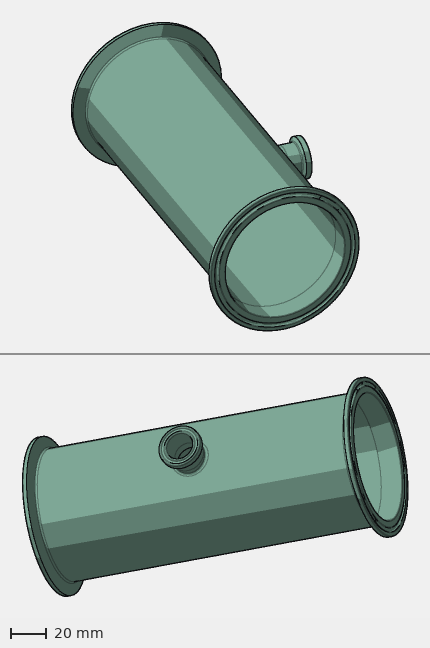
import cadquery as cq
import math

overall_length = 196.85
run_od = 76.2
run_bore = 72.9

run_rim_od = 90.91
run_rim_thickness = 2.6
run_neck_fillet = 1.2
run_groove_diameter = 83.34
run_groove_width = 2.6
run_groove_depth = 1.1

branch_reach = 53.975
branch_od = 19.05
branch_bore = 15.75
branch_rim_od = 24.99
branch_rim_thickness = 3.5
branch_neck_fillet = 0.7
branch_groove_diameter = 20.32
branch_groove_width = 1.57
branch_groove_depth = 0.7
branch_root_fillet = 1.6

ferrule_length = 12.7
face_edge_fillet = 0.4
clamp_angle = math.radians(20)


def ferrule(rim_od, rim_thickness, neck_od, bore, neck_fillet, groove_diameter, groove_width, groove_depth):
    """Clamp ferrule along +Z with its grooved gasket face on the XY plane."""
    rim_radius = rim_od / 2
    neck_radius = neck_od / 2
    bore_radius = bore / 2
    groove_radius = groove_diameter / 2
    half_groove = groove_width / 2

    corner_height = rim_thickness + (rim_radius - neck_radius) * math.tan(clamp_angle)
    tangent_length = neck_fillet * math.tan((math.pi / 2 - clamp_angle) / 2)
    fillet_start = (
        neck_radius + tangent_length * math.cos(clamp_angle),
        corner_height - tangent_length * math.sin(clamp_angle),
    )
    fillet_end = (neck_radius, corner_height + tangent_length)

    section = (
        cq.Workplane("XZ")
        .moveTo(bore_radius, 0)
        .lineTo(groove_radius - half_groove, 0)
        .threePointArc((groove_radius, groove_depth), (groove_radius + half_groove, 0))
        .lineTo(rim_radius, 0)
        .lineTo(rim_radius, rim_thickness)
        .lineTo(*fillet_start)
        .tangentArcPoint(fillet_end, relative=False)
        .lineTo(neck_radius, ferrule_length)
        .lineTo(bore_radius, ferrule_length)
        .close()
    )
    body = section.revolve(360, (0, 0, 0), (0, 1, 0))

    return body.faces("<Z").edges().fillet(face_edge_fillet)


def along_run(upright, start):
    """Lay a +Z body along +X, beginning at the given X position."""
    return upright.rotate((0, 0, 0), (0, 1, 0), 90).translate((start, 0, 0))


def make_run_tube():
    """Plain tube between the two end ferrules, centred on the origin."""
    length = overall_length - 2 * ferrule_length
    upright = cq.Workplane("XY").circle(run_od / 2).circle(run_bore / 2).extrude(length)
    return along_run(upright, -length / 2)


def make_run_ferrule():
    """Ferrule for the -X end of the run."""
    upright = ferrule(
        run_rim_od, run_rim_thickness, run_od, run_bore, run_neck_fillet,
        run_groove_diameter, run_groove_width, run_groove_depth,
    )
    return along_run(upright, -overall_length / 2)


def along_branch(upright, start):
    """Lay a +Z body along -Y, beginning at the given distance from the run axis."""
    return upright.rotate((0, 0, 0), (1, 0, 0), 90).translate((0, start, 0))


def make_tee(run_tube):
    """Run tube with the filleted branch stub and its opening."""
    stub_end = branch_reach - ferrule_length
    stub = cq.Workplane("XY").circle(branch_od / 2).extrude(stub_end)
    run_core = cq.Workplane("YZ").circle(run_bore / 2).extrude(overall_length / 2, both=True)
    opening = cq.Workplane("XY").circle(branch_bore / 2).extrude(stub_end)
    tee = run_tube.union(along_branch(stub, stub_end).cut(run_core))

    root_half_width = branch_od / 2 + branch_root_fillet
    root_edges = cq.selectors.BoxSelector(
        (-root_half_width, run_bore / 2, -root_half_width),
        (root_half_width, run_od / 2 + branch_root_fillet, root_half_width),
        boundingbox=True,
    )
    return tee.edges(root_edges).fillet(branch_root_fillet).cut(along_branch(opening, stub_end))


branch_ferrule = along_branch(
    ferrule(
        branch_rim_od, branch_rim_thickness, branch_od, branch_bore, branch_neck_fillet,
        branch_groove_diameter, branch_groove_width, branch_groove_depth,
    ),
    branch_reach,
)
run_ferrule = make_run_ferrule()

result = (
    make_tee(make_run_tube())
    .union(branch_ferrule)
    .union(run_ferrule)
    .union(run_ferrule.mirror("YZ"))
)